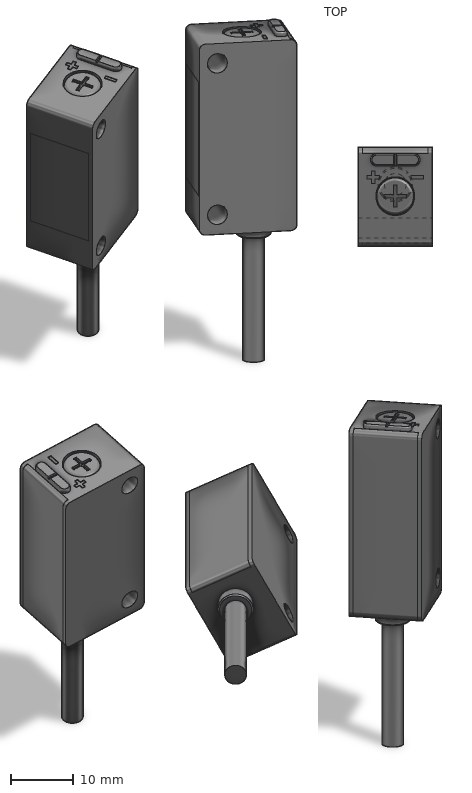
import cadquery as cq

TOTAL_HEIGHT = 55.8
HOUSING_WIDTH = 12.0
HOUSING_DEPTH = 16.0
HOUSING_HEIGHT = 32.05
EDGE_RADIUS = 1.0

LAMP_RISE = 0.8
LAMP_LENGTH = 8.0
LAMP_WIDTH = 2.0
LAMP_Y = 5.95
LAMP_BASE_HEIGHT = 0.2
LAMP_CROWN_RADIUS = 0.8
LAMP_GROOVE_WIDTH = 0.5
LAMP_GROOVE_FLOOR = 0.2
LAMP_GROOVE_DEPTH = 0.2

HOLE_DIAMETER = 3.25
HOLE_SPACING = 25.4
HOLE_FROM_FRONT = 2.95

WINDOW_WIDTH = 10.6
WINDOW_HEIGHT = 19.0
WINDOW_FROM_TOP = 6.55
WINDOW_THICKNESS = 0.55
COVER_WIDTH = 10.6

SCREW_Y = 0.1
SCREW_POCKET_DIAMETER = 6.25
SCREW_DIAMETER = 5.9
SCREW_EDGE_RADIUS = 0.5
SCREW_POCKET_DEPTH = 1.7
SCREW_SINK = 0.05
CROSS_LENGTH = 3.55
CROSS_DEPTH = 0.5

SIGN_X = 3.5
SIGN_Y = 3.2
SIGN_LENGTH = 2.0
SIGN_DEPTH = 0.1
STROKE_WIDTH = 0.55

CABLE_Y = 2.0
CABLE_DIAMETER = 3.5
GLAND_DIAMETER = 5.65
GLAND_HEIGHT = 2.0
GLAND_CHAMFER = 0.2

HOUSING_TOP = TOTAL_HEIGHT - LAMP_RISE
HOUSING_BOTTOM = HOUSING_TOP - HOUSING_HEIGHT
HOUSING_MIDDLE = (HOUSING_TOP + HOUSING_BOTTOM) / 2
FRONT_Y = -HOUSING_DEPTH / 2
BACK_Y = HOUSING_DEPTH / 2
SCREW_TOP = HOUSING_TOP - SCREW_SINK


def bar(length_x, length_y, x, y, top, depth):
    """Upright block hanging down from the height `top`."""
    return cq.Workplane("XY").box(length_x, length_y, depth).translate((x, y, top - depth / 2))


def plus(length, x, y, top, depth):
    """Two crossed strokes hanging down from the height `top`."""
    along_x = bar(length, STROKE_WIDTH, x, y, top, depth)
    along_y = bar(STROKE_WIDTH, length, x, y, top, depth)
    return along_x.union(along_y)


def make_case():
    """Whole case block with its four rounded edges along X."""
    block = cq.Workplane("XY").box(HOUSING_WIDTH, HOUSING_DEPTH, HOUSING_HEIGHT)
    return block.edges("|X").fillet(EDGE_RADIUS).translate((0, 0, HOUSING_MIDDLE))


def make_window():
    """Flat plate set flush into the front face."""
    plate = cq.Workplane("XY").box(WINDOW_WIDTH, WINDOW_THICKNESS, WINDOW_HEIGHT)
    middle_z = HOUSING_TOP - WINDOW_FROM_TOP - WINDOW_HEIGHT / 2
    return plate.translate((0, FRONT_Y + WINDOW_THICKNESS / 2, middle_z))


def make_cover():
    """Strip of the case along the back, as thick as the edge rounding."""
    strip = cq.Workplane("XY").box(COVER_WIDTH, EDGE_RADIUS, HOUSING_HEIGHT)
    return make_case().intersect(strip.translate((0, BACK_Y - EDGE_RADIUS / 2, HOUSING_MIDDLE)))


def make_housing(window, cover):
    """Case with mounting holes, screw pocket, engraved signs and recesses for its inlays."""
    holes = (
        cq.Workplane("YZ")
        .pushPoints([
            (FRONT_Y + HOLE_FROM_FRONT, HOUSING_MIDDLE + side * HOLE_SPACING / 2)
            for side in (-1, 1)
        ])
        .circle(HOLE_DIAMETER / 2)
        .extrude(HOUSING_WIDTH, both=True)
    )
    pocket = (
        cq.Workplane("XY", origin=(0, SCREW_Y, HOUSING_TOP))
        .circle(SCREW_POCKET_DIAMETER / 2)
        .extrude(-SCREW_POCKET_DEPTH)
    )
    plus_sign = plus(SIGN_LENGTH, -SIGN_X, SIGN_Y, HOUSING_TOP, SIGN_DEPTH)
    minus_sign = bar(SIGN_LENGTH, STROKE_WIDTH, SIGN_X, SIGN_Y, HOUSING_TOP, SIGN_DEPTH)
    housing = make_case().cut(window).cut(cover)
    return housing.cut(holes).cut(pocket).cut(plus_sign).cut(minus_sign)


def make_screw():
    """Adjuster standing on the pocket floor, with a rounded rim and a cross slot."""
    disc = (
        cq.Workplane("XY", origin=(0, SCREW_Y, HOUSING_TOP - SCREW_POCKET_DEPTH))
        .circle(SCREW_DIAMETER / 2)
        .extrude(SCREW_POCKET_DEPTH - SCREW_SINK)
        .faces(">Z")
        .edges()
        .fillet(SCREW_EDGE_RADIUS)
    )
    return disc.cut(plus(CROSS_LENGTH, 0, SCREW_Y, SCREW_TOP, CROSS_DEPTH))


def make_lamp():
    """Raised pill with a crowned edge, a flat top cutting the crown off and a groove across."""
    crowned_pill = (
        cq.Workplane("XY", origin=(0, LAMP_Y, HOUSING_TOP))
        .slot2D(LAMP_LENGTH, LAMP_WIDTH)
        .extrude(LAMP_BASE_HEIGHT + LAMP_CROWN_RADIUS)
        .faces(">Z")
        .edges()
        .fillet(LAMP_CROWN_RADIUS)
    )
    pill = crowned_pill.intersect(bar(LAMP_LENGTH, LAMP_WIDTH, 0, LAMP_Y, TOTAL_HEIGHT, LAMP_RISE))
    groove_floor = TOTAL_HEIGHT - LAMP_GROOVE_DEPTH
    groove = (
        cq.Workplane("XZ")
        .moveTo(-LAMP_GROOVE_WIDTH / 2, TOTAL_HEIGHT)
        .lineTo(-LAMP_GROOVE_FLOOR / 2, groove_floor)
        .lineTo(LAMP_GROOVE_FLOOR / 2, groove_floor)
        .lineTo(LAMP_GROOVE_WIDTH / 2, TOTAL_HEIGHT)
        .close()
        .extrude(HOUSING_DEPTH, both=True)
    )
    return pill.cut(groove)


def make_gland():
    """Collar under the housing, bored for the cable."""
    return (
        cq.Workplane("XY", origin=(0, CABLE_Y, HOUSING_BOTTOM))
        .circle(GLAND_DIAMETER / 2)
        .extrude(-GLAND_HEIGHT)
        .faces("<Z")
        .chamfer(GLAND_CHAMFER)
        .cut(make_cable())
    )


def make_cable():
    """Straight cable ending at the bottom of the housing."""
    return (
        cq.Workplane("XY", origin=(0, CABLE_Y, 0))
        .circle(CABLE_DIAMETER / 2)
        .extrude(HOUSING_BOTTOM)
    )


window = make_window()
cover = make_cover()
housing = make_housing(window, cover)
screw = make_screw()
lamp = make_lamp()
gland = make_gland()
cable = make_cable()

result = cq.Compound.makeCompound([
    housing.val(),
    window.val(),
    cover.val(),
    screw.val(),
    lamp.val(),
    gland.val(),
    cable.val(),
])